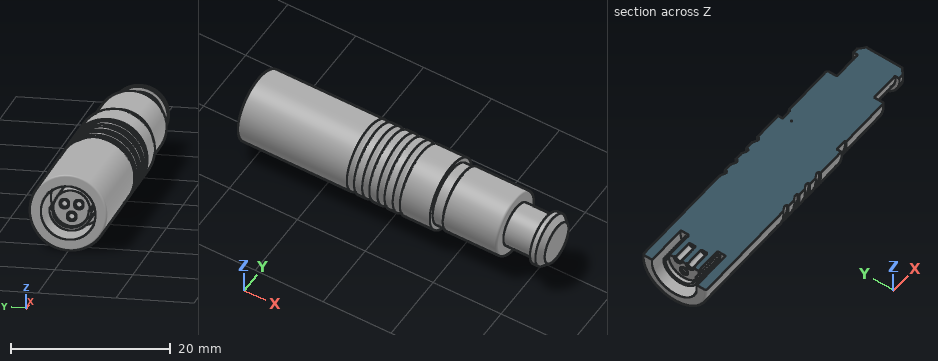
import cadquery as cq
import math

TOTAL_LENGTH = 44.0
SHELL_RADIUS = 5.0
SHELL_END = 28.4
RIM_FILLET = 0.3

GROOVE_COUNT = 4
GROOVE_PITCH = 2.25
FIRST_GROOVE_START = 16.2
GROOVE_WIDTH = 1.05
GROOVE_CONE_LENGTH = 0.55
GROOVE_CONE_ANGLE = math.radians(28.0)
GROOVE_ARC_RADIUS = 0.5

RELIEF_RADIUS = 4.3
RELIEF_END = 30.0
COLLET_RADIUS = 4.5
COLLET_END = 38.0
COLLET_FILLET = 0.3
NECK_RADIUS = 3.0
FLANGE_START = 42.3
FLANGE_RADIUS = 3.63
FLANGE_TAPER_START = 43.1
TAIL_RADIUS = 2.85

SOCKET_RADIUS = 3.5
SOCKET_DEPTH = 6.0
INSERT_RADIUS = 2.33
INSERT_FACE = 2.0
HALF_SHELL_RADIUS = 2.7
HALF_SHELL_FACE = 1.3

CONTACT_COUNT = 3
CONTACT_CIRCLE_RADIUS = 1.07
CONTACT_FIRST_ANGLE = 30.0
CONTACT_RADIUS = 0.6
CONTACT_DEPTH = 3.0
CONTACT_BORE_RADIUS = 0.45
CONTACT_RECESS = 0.2


def turned_body():
    """Solid of revolution about X carrying all outer steps and edge breaks."""
    outline = (
        cq.Workplane("XY")
        .moveTo(0, 0)
        .lineTo(0, SHELL_RADIUS - RIM_FILLET)
        .radiusArc((RIM_FILLET, SHELL_RADIUS), RIM_FILLET)
        .lineTo(SHELL_END, SHELL_RADIUS)
        .lineTo(SHELL_END, RELIEF_RADIUS)
        .lineTo(RELIEF_END, RELIEF_RADIUS)
        .lineTo(RELIEF_END, COLLET_RADIUS)
        .lineTo(COLLET_END - COLLET_FILLET, COLLET_RADIUS)
        .radiusArc((COLLET_END, COLLET_RADIUS - COLLET_FILLET), COLLET_FILLET)
        .lineTo(COLLET_END, NECK_RADIUS)
        .lineTo(FLANGE_START, NECK_RADIUS)
        .lineTo(FLANGE_START, FLANGE_RADIUS)
        .lineTo(FLANGE_TAPER_START, FLANGE_RADIUS)
        .lineTo(TOTAL_LENGTH, TAIL_RADIUS)
        .lineTo(TOTAL_LENGTH, 0)
        .close()
    )
    return outline.revolve(360, (0, 0, 0), (1, 0, 0))


def grip_groove(start):
    """Ring of material removed by one grip groove beginning at x = start."""
    cone_end_x = start + GROOVE_CONE_LENGTH
    cone_end_radius = SHELL_RADIUS - GROOVE_CONE_LENGTH * math.tan(GROOVE_CONE_ANGLE)
    groove_end = start + GROOVE_WIDTH

    centre_x = cone_end_x + GROOVE_ARC_RADIUS * math.sin(GROOVE_CONE_ANGLE)
    centre_radius = cone_end_radius + GROOVE_ARC_RADIUS * math.cos(GROOVE_CONE_ANGLE)
    arc_end_radius = centre_radius - math.sqrt(GROOVE_ARC_RADIUS**2 - (groove_end - centre_x) ** 2)

    outline = (
        cq.Workplane("XY")
        .moveTo(start, SHELL_RADIUS)
        .lineTo(cone_end_x, cone_end_radius)
        .threePointArc(
            (centre_x, centre_radius - GROOVE_ARC_RADIUS),
            (groove_end, arc_end_radius),
        )
        .lineTo(groove_end, SHELL_RADIUS)
        .close()
    )
    return outline.revolve(360, (0, 0, 0), (1, 0, 0))


def rod(radius, start, end):
    """Cylinder on the X axis between two stations."""
    return cq.Workplane("YZ", origin=(start, 0, 0)).circle(radius).extrude(end - start)


def half_shell():
    """Lower half of a tube hugging the insert and standing proud of its face."""
    tube = rod(HALF_SHELL_RADIUS, HALF_SHELL_FACE, SOCKET_DEPTH)
    tube = tube.cut(rod(INSERT_RADIUS, HALF_SHELL_FACE, SOCKET_DEPTH))
    length = SOCKET_DEPTH - HALF_SHELL_FACE
    lower_half = (
        cq.Workplane("XY", origin=(HALF_SHELL_FACE, 0, -HALF_SHELL_RADIUS))
        .box(length, 2 * HALF_SHELL_RADIUS, HALF_SHELL_RADIUS, centered=(False, True, False))
    )
    return tube.intersect(lower_half)


def contact_holes(radius, depth):
    """Blind holes in the insert face, evenly spaced on a circle."""
    return (
        cq.Workplane("YZ", origin=(INSERT_FACE, 0, 0))
        .polarArray(CONTACT_CIRCLE_RADIUS, CONTACT_FIRST_ANGLE, 360, CONTACT_COUNT)
        .circle(radius)
        .extrude(depth)
    )


result = turned_body()
for index in range(GROOVE_COUNT):
    result = result.cut(grip_groove(FIRST_GROOVE_START + index * GROOVE_PITCH))
result = result.cut(rod(SOCKET_RADIUS, 0, SOCKET_DEPTH))
result = result.union(rod(INSERT_RADIUS, INSERT_FACE, SOCKET_DEPTH))
result = result.union(half_shell())
result = result.cut(contact_holes(CONTACT_RADIUS, CONTACT_RECESS))
result = result.cut(contact_holes(CONTACT_BORE_RADIUS, CONTACT_DEPTH))